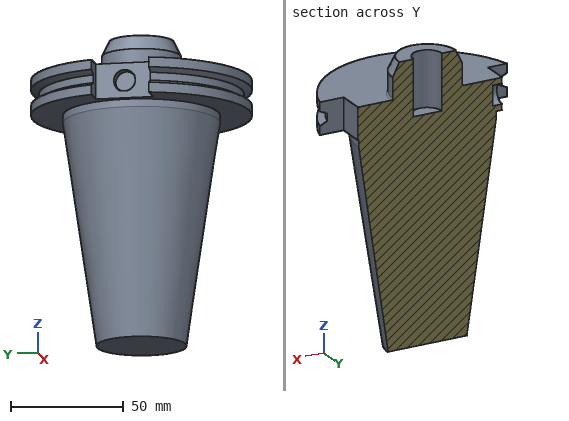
import cadquery as cq
import math

total_height = 138.2

shank_end_radius = 20.0
shank_large_radius = 35.0
taper_length = 101.4

flange_bottom = 104.7
flange_top = 120.6
flange_radius = 49.2
groove_floor_radius = 45.6
groove_mouth_width = 7.0
groove_floor_width = 3.6

nose_radius = 17.7
nose_tip_radius = 14.4
nose_tip_height = 6.8
nose_root_fillet = 0.7
bore_radius = 7.2
bore_depth = 27.6

slot_width = 26.0
left_slot_floor_x = -37.7
right_slot_floor_x = 35.4
pocket_radius = 4.8
pocket_depth = 4.5

flange_middle = (flange_bottom + flange_top) / 2
flange_thickness = flange_top - flange_bottom


def turned_body():
    """Shank, grooved flange and nose, turned about Z."""
    groove_mouth_low = flange_middle - groove_mouth_width / 2
    groove_mouth_high = flange_middle + groove_mouth_width / 2
    groove_floor_low = flange_middle - groove_floor_width / 2
    groove_floor_high = flange_middle + groove_floor_width / 2
    profile = (
        cq.Workplane("XZ")
        .lineTo(shank_end_radius, 0)
        .lineTo(shank_large_radius, taper_length)
        .lineTo(shank_large_radius, flange_bottom)
        .lineTo(flange_radius, flange_bottom)
        .lineTo(flange_radius, groove_mouth_low)
        .lineTo(groove_floor_radius, groove_floor_low)
        .lineTo(groove_floor_radius, groove_floor_high)
        .lineTo(flange_radius, groove_mouth_high)
        .lineTo(flange_radius, flange_top)
        .lineTo(nose_radius + nose_root_fillet, flange_top)
        .radiusArc((nose_radius, flange_top + nose_root_fillet), nose_root_fillet)
        .lineTo(nose_radius, total_height - nose_tip_height)
        .lineTo(nose_tip_radius, total_height)
        .lineTo(0, total_height)
        .close()
    )
    return profile.revolve(360, (0, 0, 0), (0, 1, 0))


def nose_bore():
    """Blind bore down from the nose tip."""
    return (
        cq.Workplane("XY")
        .workplane(offset=total_height - bore_depth)
        .circle(bore_radius)
        .extrude(bore_depth)
    )


def drive_slot(floor_x):
    """Slot through the flange, open outward from its floor at floor_x."""
    slot_depth = flange_radius - abs(floor_x)
    slot_middle_x = floor_x + math.copysign(slot_depth / 2, floor_x)
    return (
        cq.Workplane("XY")
        .box(slot_depth, slot_width, flange_thickness)
        .translate((slot_middle_x, 0, flange_middle))
    )


def pocket():
    """Shallow round pocket in the floor of the left slot."""
    return (
        cq.Workplane("YZ", origin=(left_slot_floor_x, 0, flange_middle))
        .circle(pocket_radius)
        .extrude(pocket_depth)
    )


result = (
    turned_body()
    .cut(nose_bore())
    .cut(drive_slot(left_slot_floor_x))
    .cut(drive_slot(right_slot_floor_x))
    .cut(pocket())
)